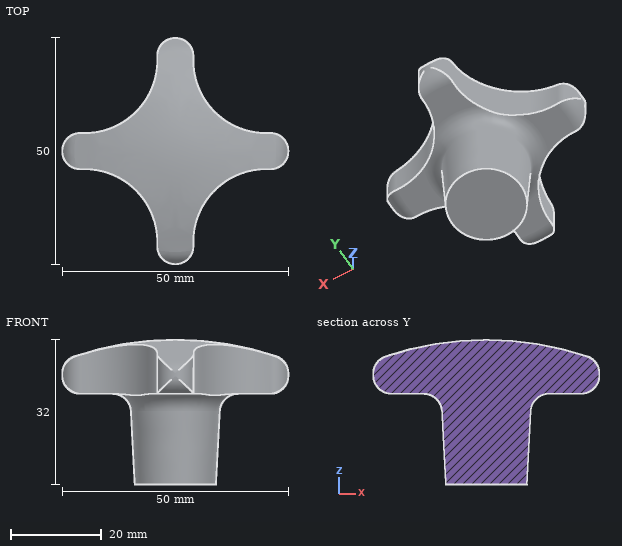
import cadquery as cq
import math

head_radius = 25.0
total_height = 32.0
head_bottom = 20.0

dome_radius = 70.0
rim_fillet = 4.0
stem_bottom_radius = 9.0
stem_draft = math.radians(3.0)
stem_fillet = 4.0

arm_count = 4
scallop_radius = 16.0
scallop_centre = 20.0

full_turn = 360.0
axis_start = (0, 0, 0)
axis_end = (0, 1, 0)


def on_circle(centre, radius, angle):
    """Point on a circle at an angle measured from the horizontal axis of its plane."""
    return (centre[0] + radius * math.cos(angle), centre[1] + radius * math.sin(angle))


def domed_disc():
    """Disc with a flat underside, a spherical top and a rim rounded above and below a narrow band."""
    rim_centre_r = head_radius - rim_fillet
    dome_centre = (0, total_height - dome_radius)
    upper_height = math.sqrt((dome_radius - rim_fillet) ** 2 - rim_centre_r**2)
    upper_centre = (rim_centre_r, dome_centre[1] + upper_height)
    lower_centre = (rim_centre_r, head_bottom + rim_fillet)
    rim_end = math.atan2(upper_height, rim_centre_r)
    dome_middle = (rim_end + math.pi / 2) / 2
    return (
        cq.Workplane("XZ")
        .moveTo(0, head_bottom)
        .lineTo(rim_centre_r, head_bottom)
        .threePointArc(
            on_circle(lower_centre, rim_fillet, -math.pi / 4),
            (head_radius, lower_centre[1]),
        )
        .lineTo(head_radius, upper_centre[1])
        .threePointArc(
            on_circle(upper_centre, rim_fillet, rim_end / 2),
            on_circle(upper_centre, rim_fillet, rim_end),
        )
        .threePointArc(on_circle(dome_centre, dome_radius, dome_middle), (0, total_height))
        .close()
        .revolve(full_turn, axis_start, axis_end)
    )


def stem():
    """Tapered stem that flares into the underside of the head."""
    fillet_z = head_bottom - stem_fillet
    tangent_z = fillet_z + stem_fillet * math.sin(stem_draft)
    tangent_radius = stem_bottom_radius + tangent_z * math.tan(stem_draft)
    fillet_centre = (tangent_radius + stem_fillet * math.cos(stem_draft), fillet_z)
    fillet_start = math.pi - stem_draft
    fillet_middle = (fillet_start + math.pi / 2) / 2
    return (
        cq.Workplane("XZ")
        .lineTo(stem_bottom_radius, 0)
        .lineTo(tangent_radius, tangent_z)
        .threePointArc(
            on_circle(fillet_centre, stem_fillet, fillet_middle),
            (fillet_centre[0], head_bottom),
        )
        .lineTo(0, head_bottom)
        .close()
        .revolve(full_turn, axis_start, axis_end)
    )


def tip_radius():
    """Radius of the arm tip arc touching the outer radius and both neighbouring scallops.

    External tangency with a scallop, where gap = head_radius - scallop_centre:
    (gap - t)^2 + scallop_centre^2 = (scallop_radius + t)^2
    """
    gap = head_radius - scallop_centre
    return (gap**2 + scallop_centre**2 - scallop_radius**2) / (2 * (scallop_radius + gap))


def star_prism():
    """Upright prism whose rounded arm tips blend into the concave scallops between the arms."""
    tip = tip_radius()
    tip_centre_x = head_radius - tip
    tangent_share = tip / (tip + scallop_radius)
    tangent_x = tip_centre_x + tangent_share * (scallop_centre - tip_centre_x)
    tangent_y = tangent_share * scallop_centre
    scallop_middle = scallop_centre - scallop_radius * math.sqrt(0.5)

    def turned(x, y, index):
        angle = index * 2 * math.pi / arm_count
        return (
            x * math.cos(angle) - y * math.sin(angle),
            x * math.sin(angle) + y * math.cos(angle),
        )

    outline = cq.Workplane("XY").moveTo(tangent_x, -tangent_y)
    for arm in range(arm_count):
        outline = outline.threePointArc(
            turned(head_radius, 0, arm),
            turned(tangent_x, tangent_y, arm),
        ).threePointArc(
            turned(scallop_middle, scallop_middle, arm),
            turned(tangent_y, tangent_x, arm),
        )
    return outline.close().extrude(total_height)


result = domed_disc().union(stem()).intersect(star_prism())